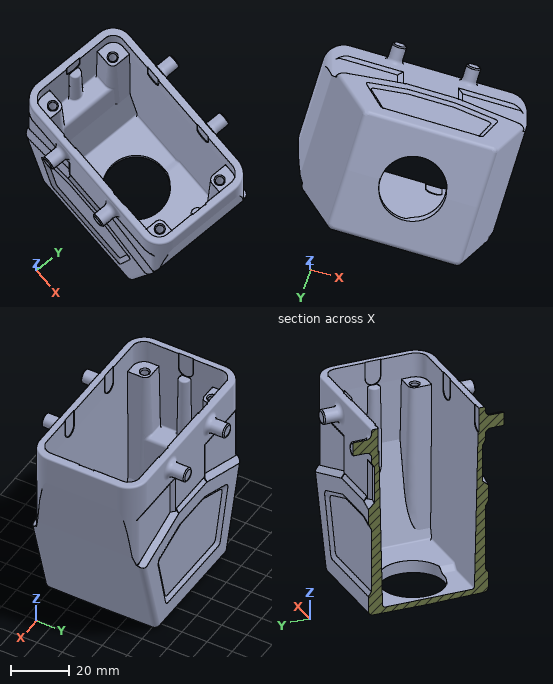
import cadquery as cq
import math

LENGTH = 73.0
HEIGHT = 72.0
PIN_SPAN = 57.0

UPPER_WIDTH = 42.9
UPPER_CORNER_RADIUS = 7.5
RIM_ROUND = 0.9
TAPER_START_Z = 60.65
WAIST_Z = 40.0
WAIST_HALF_LENGTH = 34.7
WAIST_ROUND = 5.1
UPPER_BOTTOM_Z = 25.55

LOWER_WIDTH = 45.2
BASE_HALF_LENGTH = 23.8
LOWER_EDGE_ROUND = 2.1
BASE_ROUND = 1.75
BASE_CROWN = 0.3
PANEL_TOP_Z = 44.8
PANEL_TOP_HALF_LENGTH = 9.5
PANEL_TOP_SLOPE = 0.36
PANEL_BEVEL = 1.9
WEB_BEVEL_TOP_Z = 44.5

RELIEF_DEPTH = 1.1
RELIEF_BEVEL = 1.75
RELIEF_TOP_Z = 58.9
RELIEF_END_ROUND = 2.2
RELIEF_INNER_X = 9.9
POCKET_TOP_Z = 37.15
POCKET_TOP_HALF_LENGTH = 8.4
POCKET_SHOULDER_Z = 31.4
POCKET_SHOULDER_HALF_LENGTH = 23.95
POCKET_BOTTOM_Z = 7.8
POCKET_BOTTOM_HALF_LENGTH = 18.2
POCKET_SHOULDER_ROUND = 4.4
POCKET_BOTTOM_ROUND = 3.3

PIN_X = 13.3
PIN_Z = 65.8
PIN_RADIUS = 2.6
PIN_TIP_CHAMFER = 0.45
PIN_ROOT_ROUND = 2.0
PIN_ROOT_DEPTH = 0.7

CAVITY_LENGTH = 67.0
CAVITY_WIDTH = 37.1
CAVITY_CORNER_RADIUS = 4.4
LEDGE_Z = 62.8
CAVITY_WAIST_HALF_LENGTH = 32.85
FLOOR_WIDTH = 34.3
FLOOR_ROUND = 0.9
LEFT_FLOOR_Z = 2.55
RIGHT_FLOOR_Z = 4.75
FLOOR_STEP_LEFT_X = 1.0
FLOOR_STEP_RIGHT_X = 3.1
RIGHT_FLOOR_END_X = 22.6
LEFT_FLOOR_END_X = -19.85
LEFT_KNEE_X = -24.4
LEFT_KNEE_Z = 17.5
SHELF_Z = 36.5
SHELF_EDGE_X = -25.1
SHELF_EDGE_ROUND = 1.8
SHELF_ROUND = 0.8
CABLE_HOLE_RADIUS = 11.7

GROOVE_WIDTH = 5.85
GROOVE_DEPTH = 0.255

POST_INNER_X = 25.6
POST_INNER_Y = 10.65
POST_CORNER_ROUND = 2.2
POST_DRAFT = 2.0
POST_BOTTOM_Z = 7.3
SCREW_X = 28.55
SCREW_Y = 13.4
SCREW_RADIUS = 1.45
SCREW_CHAMFER = 0.45
SCREW_DEPTH = 14.6
RIB_X = 32.6
RIB_TOP_RADIUS = 2.2
RIB_DRAFT = 1.0
RIB_ROUND = 0.65
RIB_BOTTOM_Z = 29.2

HALF_LENGTH = LENGTH / 2
FULL_X = (-LENGTH, LENGTH)
SIGNS = (-1, 1)
FINE_MARGIN = 0.1
RELIEF_ANGLE = math.degrees(math.atan(RELIEF_BEVEL / RELIEF_DEPTH))


def mirrored(right_points):
    """Close an XZ outline from its +X half, listed from bottom to top."""
    return right_points + [(-x, z) for x, z in reversed(right_points)]


def side_prism(points, width):
    """Extrude an XZ outline along Y, centred on Y = 0."""
    return cq.Workplane("XZ").polyline(points).close().extrude(width / 2, both=True)


def end_prism(points, length):
    """Extrude a YZ outline along X, centred on X = 0."""
    return cq.Workplane("YZ").polyline(points).close().extrude(length / 2, both=True)


def flank_x(z):
    """Half length of the sloping flank at height z below the waist."""
    return BASE_HALF_LENGTH + (WAIST_HALF_LENGTH - BASE_HALF_LENGTH) * z / WAIST_Z


def box_between(x_range, z_range):
    """Select what is centred within an X and a Z range, at any Y."""
    return cq.selectors.BoxSelector(
        (x_range[0], -LENGTH, z_range[0]), (x_range[1], LENGTH, z_range[1])
    )


def around(value, margin=0.7):
    """Range of one margin to either side of a value."""
    return (value - margin, value + margin)


def both_broad_sides(tool):
    """Join a shape made for the -Y side with its mirror image on the +Y side."""
    return tool.union(tool.mirror("XZ"))


def make_relief_tool(points, surface_y):
    """Bevelled cutter that sinks RELIEF_DEPTH into the -Y face from an outline on that face."""
    outline = cq.Workplane("XZ", origin=(0, -surface_y, 0)).polyline(points).close()
    return outline.extrude(-RELIEF_DEPTH, taper=RELIEF_ANGLE)


def make_upper_shell():
    shell = cq.Workplane("XY").workplane(offset=UPPER_BOTTOM_Z).rect(LENGTH, UPPER_WIDTH)
    shell = shell.extrude(HEIGHT - UPPER_BOTTOM_Z).edges("|Z").fillet(UPPER_CORNER_RADIUS)
    shell = shell.faces(">Z").edges().fillet(RIM_ROUND)
    reach = LENGTH
    for sign in SIGNS:
        points = [
            (sign * RELIEF_INNER_X, -reach),
            (sign * RELIEF_INNER_X, RELIEF_TOP_Z),
            (sign * reach, RELIEF_TOP_Z),
            (sign * reach, -reach),
        ]
        shell = shell.cut(both_broad_sides(make_relief_tool(points, UPPER_WIDTH / 2)))
    corner_x = HALF_LENGTH - UPPER_CORNER_RADIUS
    recess_z = (WAIST_Z, RELIEF_TOP_Z - RELIEF_BEVEL)
    for x_range in ((-HALF_LENGTH, -corner_x), (corner_x, HALF_LENGTH)):
        run_outs = box_between(x_range, recess_z)
        shell = shell.edges(run_outs).edges("|Z").fillet(RELIEF_END_ROUND)
    end_outline = mirrored([
        (flank_x(UPPER_BOTTOM_Z), UPPER_BOTTOM_Z),
        (WAIST_HALF_LENGTH, WAIST_Z),
        (HALF_LENGTH, TAPER_START_Z),
        (HALF_LENGTH, HEIGHT),
    ])
    envelope = side_prism(end_outline, LENGTH)
    waist = box_between(FULL_X, around(WAIST_Z))
    return shell.intersect(envelope.edges(waist).fillet(WAIST_ROUND))


def make_lower_shell():
    flank_slope = (WAIST_HALF_LENGTH - BASE_HALF_LENGTH) / WAIST_Z
    shoulder_z = PANEL_TOP_Z - PANEL_TOP_SLOPE * (BASE_HALF_LENGTH - PANEL_TOP_HALF_LENGTH)
    shoulder_z /= 1 + PANEL_TOP_SLOPE * flank_slope
    outline = mirrored([
        (BASE_HALF_LENGTH, 0),
        (flank_x(shoulder_z), shoulder_z),
        (PANEL_TOP_HALF_LENGTH, PANEL_TOP_Z),
    ])
    half = LOWER_WIDTH / 2
    crowned = [(0, 0), (half, BASE_CROWN), (half, HEIGHT), (-half, HEIGHT), (-half, BASE_CROWN)]
    shell = side_prism(outline, LOWER_WIDTH).intersect(end_prism(crowned, LENGTH))

    flanks = box_between(FULL_X, (2 * BASE_ROUND, shoulder_z - BASE_ROUND))
    shell = shell.edges(flanks).fillet(LOWER_EDGE_ROUND)
    underside = box_between(FULL_X, around(0))
    crown_line = "|X and (not >Y) and (not <Y)"
    shell = shell.edges(underside).edges(f"not({crown_line})").fillet(BASE_ROUND)

    floor_y = UPPER_WIDTH / 2 - RELIEF_DEPTH
    panel_height = half - floor_y
    reach = LENGTH
    panel_outline = mirrored([
        (reach, -reach),
        (reach, PANEL_TOP_Z - PANEL_TOP_SLOPE * (reach - PANEL_TOP_HALF_LENGTH)),
        (PANEL_TOP_HALF_LENGTH, PANEL_TOP_Z),
    ])
    panel = cq.Workplane("XZ", origin=(0, -floor_y, 0)).polyline(panel_outline).close()
    panel = panel.extrude(panel_height, taper=math.degrees(math.atan(PANEL_BEVEL / panel_height)))
    core = side_prism(outline, 2 * floor_y)
    return shell.intersect(core.union(both_broad_sides(panel)))


def make_pocket_tool():
    points = mirrored([
        (POCKET_BOTTOM_HALF_LENGTH, POCKET_BOTTOM_Z),
        (POCKET_SHOULDER_HALF_LENGTH, POCKET_SHOULDER_Z),
        (POCKET_TOP_HALF_LENGTH, POCKET_TOP_Z),
    ])
    pocket = make_relief_tool(points, LOWER_WIDTH / 2)
    split_z = (POCKET_BOTTOM_Z + POCKET_SHOULDER_Z) / 2
    bottom = box_between(FULL_X, (POCKET_BOTTOM_Z, split_z))
    shoulders = box_between(FULL_X, (split_z, POCKET_SHOULDER_Z))
    for corners, radius in ((bottom, POCKET_BOTTOM_ROUND), (shoulders, POCKET_SHOULDER_ROUND)):
        pocket = pocket.edges(corners).edges("not #Y").fillet(radius)
    return pocket


def make_pin():
    """Locking pin on the -Y side with a concave flare at its root."""
    root = UPPER_WIDTH / 2
    flare_end = root + PIN_ROOT_ROUND
    flare_radius = PIN_RADIUS + PIN_ROOT_ROUND
    tip = PIN_SPAN / 2
    middle = PIN_ROOT_ROUND * (1 - math.sqrt(0.5))
    profile = (
        cq.Workplane("XY")
        .moveTo(0, -(root - PIN_ROOT_DEPTH))
        .lineTo(flare_radius, -(root - PIN_ROOT_DEPTH))
        .lineTo(flare_radius, -root)
        .threePointArc((PIN_RADIUS + middle, -(root + middle)), (PIN_RADIUS, -flare_end))
        .lineTo(PIN_RADIUS, -(tip - PIN_TIP_CHAMFER))
        .lineTo(PIN_RADIUS - PIN_TIP_CHAMFER, -tip)
        .lineTo(0, -tip)
        .close()
    )
    return profile.revolve(360, (0, 0, 0), (0, 1, 0)).translate((0, 0, PIN_Z))


def make_mouth():
    """Straight upper part of the cavity with a groove behind each pin and at each end."""
    mouth = cq.Workplane("XY").workplane(offset=LEDGE_Z).rect(CAVITY_LENGTH, CAVITY_WIDTH)
    mouth = mouth.extrude(HEIGHT - LEDGE_Z).edges("|Z").fillet(CAVITY_CORNER_RADIUS)
    for sign in SIGNS:
        for x in (-PIN_X, PIN_X):
            mouth = mouth.union(make_groove().translate((x, sign * CAVITY_WIDTH / 2, 0)))
        end_groove = make_groove().rotate((0, 0, 0), (0, 0, 1), 90)
        mouth = mouth.union(end_groove.translate((sign * CAVITY_LENGTH / 2, 0, 0)))
    return mouth


def make_chamber():
    """Tapering lower part of the cavity: shelf at the -X end, stepped floor, drafted long walls."""
    outline = [
        (CAVITY_LENGTH / 2, LEDGE_Z),
        (CAVITY_WAIST_HALF_LENGTH, WAIST_Z),
        (RIGHT_FLOOR_END_X, RIGHT_FLOOR_Z),
        (FLOOR_STEP_RIGHT_X, RIGHT_FLOOR_Z),
        (FLOOR_STEP_LEFT_X, LEFT_FLOOR_Z),
        (LEFT_FLOOR_END_X, LEFT_FLOOR_Z),
        (LEFT_KNEE_X, LEFT_KNEE_Z),
        (SHELF_EDGE_X, SHELF_Z),
        (-CAVITY_WAIST_HALF_LENGTH, SHELF_Z),
        (-CAVITY_LENGTH / 2, LEDGE_Z),
    ]
    top, bottom = CAVITY_WIDTH / 2, FLOOR_WIDTH / 2
    section = [(top, LEDGE_Z), (bottom, LEFT_FLOOR_Z), (-bottom, LEFT_FLOOR_Z), (-top, LEDGE_Z)]
    chamber = side_prism(outline, CAVITY_WIDTH).intersect(end_prism(section, CAVITY_LENGTH))
    shelf_edge = box_between(around(SHELF_EDGE_X), around(SHELF_Z))
    chamber = chamber.edges(shelf_edge).fillet(SHELF_EDGE_ROUND)
    floor_edges = box_between(FULL_X, (0, RIGHT_FLOOR_Z + FLOOR_ROUND))
    chamber = chamber.edges(floor_edges).fillet(FLOOR_ROUND)
    return chamber


def make_cavity():
    mouth = make_mouth()
    chamber = make_chamber()
    for x_sign in SIGNS:
        for y_sign in SIGNS:
            chamber = chamber.cut(make_post(x_sign, y_sign))
            hole = make_screw_hole().translate((x_sign * SCREW_X, y_sign * SCREW_Y, LEDGE_Z))
            mouth = mouth.union(hole)
        chamber = chamber.cut(make_end_rib().translate((x_sign * RIB_X, 0, 0)))
    shelf_outline = box_between((-HALF_LENGTH, SHELF_EDGE_X), around(SHELF_Z, FINE_MARGIN))
    chamber = chamber.edges(shelf_outline).edges("not((|Y) and (>X))").fillet(SHELF_ROUND)
    cable_hole = cq.Workplane("XY").circle(CABLE_HOLE_RADIUS).extrude(LEDGE_Z)
    return mouth.union(chamber).union(cable_hole)


def make_groove():
    """Round-ended shallow groove that runs along X = 0 from the ledge to the rim."""
    radius = GROOVE_WIDTH / 2
    groove = cq.Workplane("XZ").center(0, LEDGE_Z + radius).circle(radius)
    groove = groove.extrude(GROOVE_DEPTH, both=True)
    straight_height = HEIGHT - LEDGE_Z - radius
    straight = cq.Workplane("XY").box(GROOVE_WIDTH, 2 * GROOVE_DEPTH, straight_height)
    return groove.union(straight.translate((0, 0, HEIGHT - straight_height / 2)))


def make_post(x_sign, y_sign):
    """Corner post that widens downwards and runs into both walls."""
    center_x = x_sign * HALF_LENGTH
    center_y = y_sign * UPPER_WIDTH / 2
    size_x = 2 * (HALF_LENGTH - POST_INNER_X)
    size_y = 2 * (UPPER_WIDTH / 2 - POST_INNER_Y)
    post = cq.Workplane("XY", origin=(center_x, center_y, LEDGE_Z)).placeSketch(
        cq.Sketch().rect(size_x, size_y).vertices().fillet(POST_CORNER_ROUND)
    )
    return post.extrude(POST_BOTTOM_Z - LEDGE_Z, taper=-POST_DRAFT)


def make_screw_hole():
    hole = cq.Workplane("XY").circle(SCREW_RADIUS).extrude(-SCREW_DEPTH)
    sink = cq.Workplane("XY").circle(SCREW_RADIUS + SCREW_CHAMFER).extrude(-SCREW_CHAMFER, taper=45)
    return hole.union(sink)


def make_end_rib():
    rib = cq.Workplane("XY", origin=(0, 0, LEDGE_Z)).circle(RIB_TOP_RADIUS)
    rib = rib.extrude(RIB_BOTTOM_Z - LEDGE_Z, taper=-RIB_DRAFT)
    return rib.faces(">Z").edges().fillet(RIB_ROUND)


def make_web_bevel():
    """Sloped step between the middle web and the top of each raised panel."""
    web_y = UPPER_WIDTH / 2
    panel_y = LOWER_WIDTH / 2
    step_z = PANEL_TOP_Z - PANEL_BEVEL
    section = [
        (-web_y, WEB_BEVEL_TOP_Z),
        (web_y, WEB_BEVEL_TOP_Z),
        (panel_y, step_z),
        (-panel_y, step_z),
    ]
    return end_prism(section, 2 * PANEL_TOP_HALF_LENGTH)


result = make_upper_shell().union(make_lower_shell()).union(make_web_bevel())
result = result.cut(both_broad_sides(make_pocket_tool())).cut(make_cavity())
for pin_x in (-PIN_X, PIN_X):
    result = result.union(both_broad_sides(make_pin()).translate((pin_x, 0, 0)))